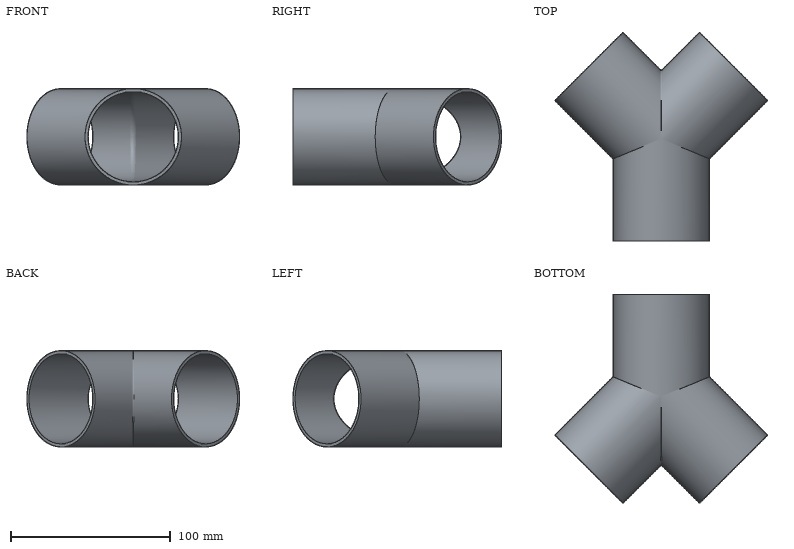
import cadquery as cq
import math

outer_diameter = 60.3
wall_thickness = 2.0
bore_diameter = outer_diameter - 2 * wall_thickness
overall_width = 133.2
branch_angle = 45.0

tilt = math.radians(branch_angle)
arm_length = (overall_width / 2 - outer_diameter / 2 * math.cos(tilt)) / math.sin(tilt)

crotch_outer_radius = 0.5
crotch_inner_radius = crotch_outer_radius + wall_thickness


def arm_cylinder(diameter, direction_degrees):
    """Cylinder from the junction point outward, lying in the XY plane."""
    angle = math.radians(direction_degrees)
    direction = cq.Vector(math.cos(angle), math.sin(angle), 0)
    solid = cq.Solid.makeCylinder(diameter / 2, arm_length, cq.Vector(0, 0, 0), direction)
    return cq.Workplane(obj=solid)


def arm_union(diameter):
    """All three arms of one diameter, joined."""
    joined = arm_cylinder(diameter, -90)
    for direction in (90 - branch_angle, 90 + branch_angle):
        joined = joined.union(arm_cylinder(diameter, direction))
    return joined


def round_crotch(body, diameter, radius):
    """Round the seam between the two branches, on the surface of the given diameter."""
    seam_length = diameter / 2 / math.sin(tilt)
    seam_height = diameter / 2
    tolerance = 0.01

    def is_seam(edge):
        box = edge.BoundingBox()
        return (
            box.xlen < tolerance
            and abs(box.ymax - seam_length) < tolerance
            and abs(box.zlen - seam_height) < tolerance
        )

    return body.edges().filter(is_seam).fillet(radius)


wye = arm_union(outer_diameter).cut(arm_union(bore_diameter))
wye = round_crotch(wye, bore_diameter, crotch_inner_radius)
result = round_crotch(wye, outer_diameter, crotch_outer_radius)